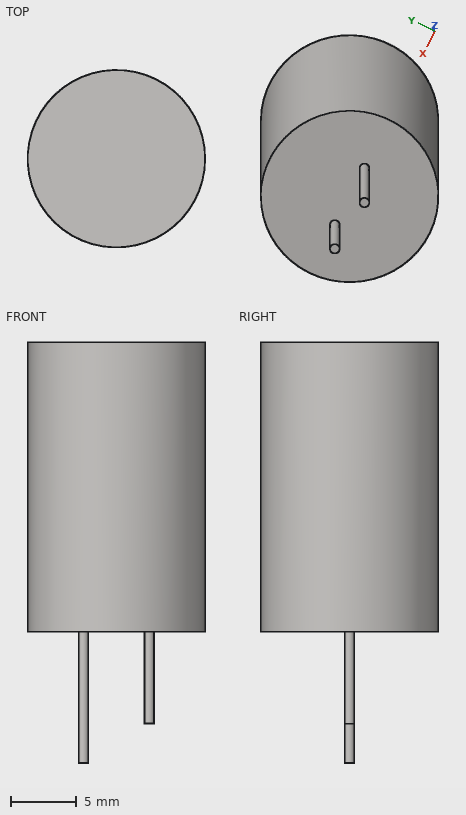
import cadquery as cq

can_diameter = 13.5
can_height = 22.0

lead_diameter = 0.75
lead_spacing = 5.0
overall_height = 32.0
long_lead_length = overall_height - can_height
short_lead_length = 6.98


def make_can():
    """Plain cylinder with its base at Z = 0."""
    return cq.Workplane("XY").circle(can_diameter / 2).extrude(can_height)


def make_lead(x, length):
    """Round wire hanging down from the base of the can."""
    return cq.Workplane("XY").center(x, 0).circle(lead_diameter / 2).extrude(-length)


can = make_can()

lead_layout = [
    (-lead_spacing / 2, long_lead_length),
    (lead_spacing / 2, short_lead_length),
]
leads = [make_lead(x, length) for x, length in lead_layout]

result = cq.Compound.makeCompound([can.val(), *[lead.val() for lead in leads]])